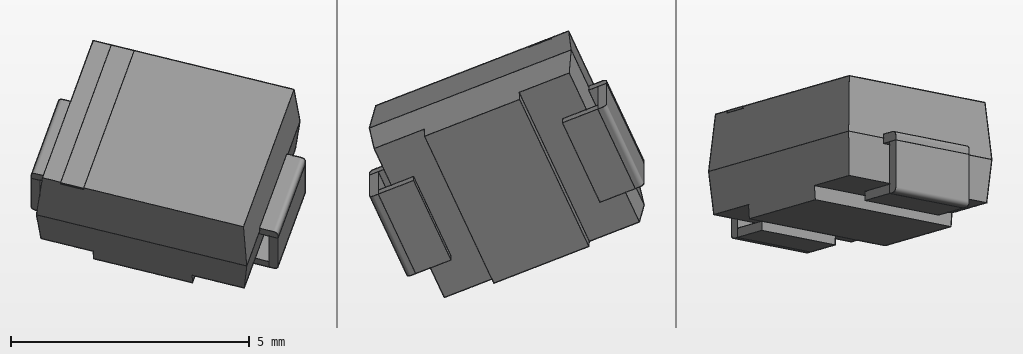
import cadquery as cq

overall_length = 5.4
overall_height = 2.47

housing_length = 4.6
housing_width = 3.9
taper_inset = 0.1
parting_height = overall_height / 2
end_length = housing_length - 2 * taper_inset
end_width = housing_width - 2 * taper_inset
pedestal_length = 2.165
pedestal_height = 0.3

band_length = 0.5
band_offset = 0.4
band_thickness = 0.05
band_overhang = 0.01

lead_width = 2.0
lead_thickness = 0.2
bend_radius = lead_thickness / 2
lead_top = 1.32
foot_length = 1.005


def box_between(x_range, y_range, z_range):
    """Axis-aligned box spanning the given (low, high) ranges."""
    ranges = (x_range, y_range, z_range)
    size = [high - low for low, high in ranges]
    corner = [low for low, high in ranges]
    return cq.Workplane("XY").box(*size, centered=False).translate(tuple(corner))


def make_tapered_half(end_height):
    """Housing half lofted from the parting plane to its smaller end face."""
    return (
        cq.Workplane("XY")
        .workplane(offset=parting_height)
        .rect(housing_length, housing_width)
        .workplane(offset=end_height - parting_height)
        .rect(end_length, end_width)
        .loft(ruled=True)
    )


def make_lower_housing():
    """Lower half with both ends cut away to leave a central pedestal."""
    lower = make_tapered_half(0)
    half_length = housing_length / 2
    half_width = housing_width / 2
    for low, high in ((-half_length, -pedestal_length / 2), (pedestal_length / 2, half_length)):
        lower = lower.cut(box_between((low, high), (-half_width, half_width), (0, pedestal_height)))
    return lower


def make_band():
    """Thin polarity strip running across the top of the housing."""
    start = -end_length / 2 + band_offset
    return box_between(
        (start, start + band_length),
        (-end_width / 2 - band_overhang, end_width / 2),
        (overall_height - band_thickness, overall_height),
    )


outer_end = -overall_length / 2
inner_wall = outer_end + lead_thickness
lead_y = (-lead_width / 2, lead_width / 2)
arm_bottom = lead_top - lead_thickness


def make_lead_arm():
    """Horizontal arm of the -X lead, trimmed to meet the tapered housing wall."""
    arm = box_between((outer_end, -end_length / 2), lead_y, (arm_bottom, lead_top))
    arm = arm.edges("<X and >Z").fillet(bend_radius)
    return arm.cut(upper_housing).cut(lower_housing)


def make_lead_post():
    """Vertical post of the -X lead, below the arm."""
    post = box_between((outer_end, inner_wall), lead_y, (0, arm_bottom))
    return post.edges("<X and <Z").fillet(bend_radius)


def make_lead_foot():
    """Solder foot of the -X lead, turned inwards under the housing."""
    return box_between((inner_wall, outer_end + foot_length), lead_y, (0, lead_thickness))


band = make_band()
upper_housing = make_tapered_half(overall_height).cut(band)
lower_housing = make_lower_housing()

lead_pieces = []
for angle in (0, 180):
    for piece in (make_lead_arm(), make_lead_post(), make_lead_foot()):
        lead_pieces.append(piece.rotate((0, 0, 0), (0, 0, 1), angle).val())

lead_solids = [solid for piece in lead_pieces for solid in piece.Solids()]
result = cq.Compound.makeCompound(
    [upper_housing.val(), lower_housing.val(), band.val(), *lead_solids]
)